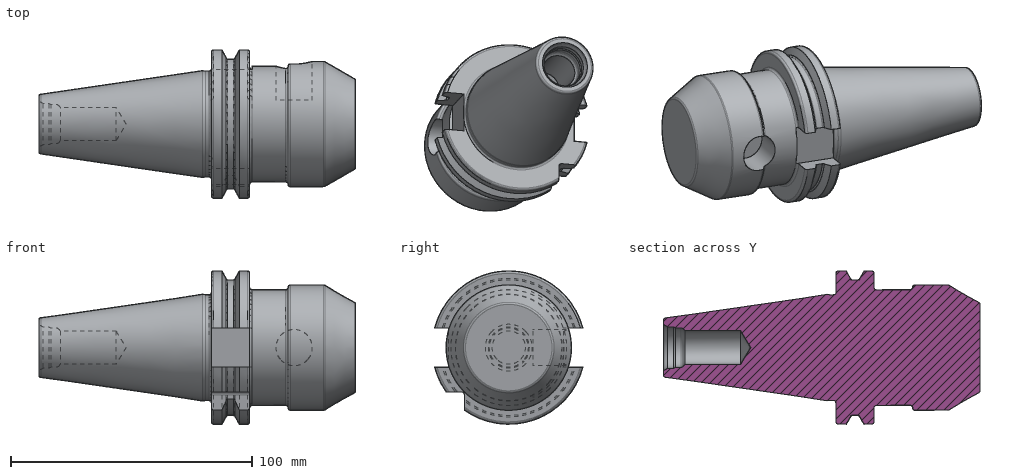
import cadquery as cq
import math

gauge_radius = 44.45 / 2
taper_ratio = 7 / 24
taper_length = 68.25
taper_end_x = -0.5
small_end_round = 1.0
relief_radius = 22.0
relief_start_x = 0.7

flange_radius = 63.55 / 2
flange_start_x = 3.2
flange_end_x = 19.1
flange_round = 1.0
relief_round = 0.9
groove_centre_x = 11.2
groove_mouth_width = 7.25
groove_flank_angle = 30
groove_floor_width = 3.75
groove_floor_radius = 56.25 / 2
groove_floor_round = 0.6

neck_radius = 24.0
neck_round = 1.0
body_radius = 26.0
body_start_x = 35.0
step_round = (body_radius - neck_radius) / 2
nose_start_x = 50.0
nose_angle = 30
nose_end_x = 63.0
nose_round = 1.0

slot_width = 16.1
near_slot_depth_y = 25.0
far_slot_depth_y = 22.7
notch_offset = 18.4
notch_round = 1.2

bore_mouth_radius = 9.7
bore_mouth_chamfer = 0.35
bore_entry_angle = 30
bore_pilot_radius = 8.5
bore_pilot_depth = 4.3
bore_thread_radius = 8.1
bore_thread_depth = 7.3
bore_thread_round = 1.2
bore_cone_angle = 45
bore_drill_radius = 6.9
bore_depth = 32.0
drill_point_angle = 118

screw_hole_radius = 7.5
screw_hole_x = 37.5
screw_hole_floor_y = 10.0


def taper_radius(x):
    return gauge_radius + x * taper_ratio / 2


def make_body():
    """Solid of revolution about X: shank, flange, neck, body and nose."""
    small_end_x = -taper_length
    floor_half = groove_floor_width / 2
    mouth_half = groove_mouth_width / 2
    flank_depth = (mouth_half - floor_half) / math.tan(math.radians(groove_flank_angle))
    groove_left_x = groove_centre_x - floor_half
    groove_right_x = groove_centre_x + floor_half
    flank_foot_radius = flange_radius - flank_depth
    nose_tip_radius = body_radius - (nose_end_x - nose_start_x) * math.tan(math.radians(nose_angle))

    cone_cos = math.cos(math.radians(nose_angle))
    cone_sin = math.sin(math.radians(nose_angle))
    shoulder_setback = nose_round * math.tan(math.radians(nose_angle / 2))
    tip_setback = nose_round * math.tan(math.radians((90 - nose_angle) / 2))
    round_end_x = small_end_x + small_end_round

    profile = (
        cq.Workplane("XY")
        .moveTo(small_end_x, 0)
        .lineTo(small_end_x, taper_radius(round_end_x) - small_end_round)
        .radiusArc((round_end_x, taper_radius(round_end_x)), small_end_round)
        .lineTo(taper_end_x, taper_radius(taper_end_x))
        .lineTo(relief_start_x, relief_radius)
        .lineTo(flange_start_x - relief_round, relief_radius)
        .radiusArc((flange_start_x, relief_radius + relief_round), -relief_round)
        .lineTo(flange_start_x, flange_radius - flange_round)
        .radiusArc((flange_start_x + flange_round, flange_radius), flange_round)
        .lineTo(groove_centre_x - mouth_half, flange_radius)
        .lineTo(groove_left_x, flank_foot_radius)
        .lineTo(groove_left_x, groove_floor_radius + groove_floor_round)
        .radiusArc((groove_left_x + groove_floor_round, groove_floor_radius), -groove_floor_round)
        .lineTo(groove_right_x - groove_floor_round, groove_floor_radius)
        .radiusArc((groove_right_x, groove_floor_radius + groove_floor_round), -groove_floor_round)
        .lineTo(groove_right_x, flank_foot_radius)
        .lineTo(groove_centre_x + mouth_half, flange_radius)
        .lineTo(flange_end_x - flange_round, flange_radius)
        .radiusArc((flange_end_x, flange_radius - flange_round), flange_round)
        .lineTo(flange_end_x, neck_radius + neck_round)
        .radiusArc((flange_end_x + neck_round, neck_radius), -neck_round)
        .lineTo(body_start_x - step_round, neck_radius)
        .radiusArc((body_start_x, neck_radius + step_round), -step_round)
        .radiusArc((body_start_x + step_round, body_radius), step_round)
        .lineTo(nose_start_x - shoulder_setback, body_radius)
        .radiusArc(
            (nose_start_x + shoulder_setback * cone_cos, body_radius - shoulder_setback * cone_sin),
            nose_round,
        )
        .lineTo(nose_end_x - tip_setback * cone_cos, nose_tip_radius + tip_setback * cone_sin)
        .radiusArc((nose_end_x, nose_tip_radius - tip_setback), nose_round)
        .lineTo(nose_end_x, 0)
        .close()
    )
    return profile.revolve(360, (0, 0, 0), (1, 0, 0))


def make_pull_stud_bore():
    """Stepped bore with a conical drill point, opening at the small end."""
    mouth_x = -taper_length
    cone_start_x = mouth_x + bore_mouth_chamfer
    cone_start_radius = bore_mouth_radius - bore_mouth_chamfer
    entry_slope = math.tan(math.radians(bore_entry_angle))
    cone_length = (cone_start_radius - bore_pilot_radius) / entry_slope
    pilot_end_x = mouth_x + bore_pilot_depth
    step_length = (bore_pilot_radius - bore_thread_radius) / entry_slope
    round_start_x = mouth_x + bore_thread_depth
    cone_angle = math.radians(bore_cone_angle)
    round_end_x = round_start_x + bore_thread_round * math.sin(cone_angle)
    round_end_radius = bore_thread_radius - bore_thread_round * (1 - math.cos(cone_angle))
    drill_start_x = round_end_x + (round_end_radius - bore_drill_radius) / math.tan(cone_angle)
    drill_end_x = mouth_x + bore_depth
    point_length = bore_drill_radius / math.tan(math.radians(drill_point_angle / 2))
    return (
        cq.Workplane("XY")
        .moveTo(mouth_x, 0)
        .lineTo(mouth_x, bore_mouth_radius)
        .lineTo(cone_start_x, cone_start_radius)
        .lineTo(cone_start_x + cone_length, bore_pilot_radius)
        .lineTo(pilot_end_x, bore_pilot_radius)
        .lineTo(pilot_end_x + step_length, bore_thread_radius)
        .lineTo(round_start_x, bore_thread_radius)
        .radiusArc((round_end_x, round_end_radius), bore_thread_round)
        .lineTo(drill_start_x, bore_drill_radius)
        .lineTo(drill_end_x, bore_drill_radius)
        .lineTo(drill_end_x + point_length, 0)
        .close()
        .revolve(360, (0, 0, 0), (1, 0, 0))
    )


def flange_cutter(y_size, z_size, y_start, z_start):
    """Box across the flange and its neck round, with its lowest Y and Z corner at the given place."""
    cutter_length = flange_end_x + neck_round - flange_start_x
    return (
        cq.Workplane("XY")
        .box(cutter_length, y_size, z_size, centered=False)
        .translate((flange_start_x, y_start, z_start))
    )


def make_drive_slots():
    near_start_y = -near_slot_depth_y - flange_radius
    near_slot = flange_cutter(flange_radius, slot_width, near_start_y, -slot_width / 2)
    far_slot = flange_cutter(flange_radius, slot_width, far_slot_depth_y, -slot_width / 2)
    return near_slot.union(far_slot)


def make_orientation_notch():
    start = -notch_offset - flange_radius
    notch = flange_cutter(flange_radius, flange_radius, start, start)
    return notch.edges("|X and >Y and >Z").fillet(notch_round)


def make_screw_hole():
    return (
        cq.Workplane("XZ", origin=(screw_hole_x, screw_hole_floor_y, 0))
        .circle(screw_hole_radius)
        .extrude(-body_radius)
    )


result = (
    make_body()
    .cut(make_pull_stud_bore())
    .cut(make_drive_slots())
    .cut(make_orientation_notch())
    .cut(make_screw_hole())
)